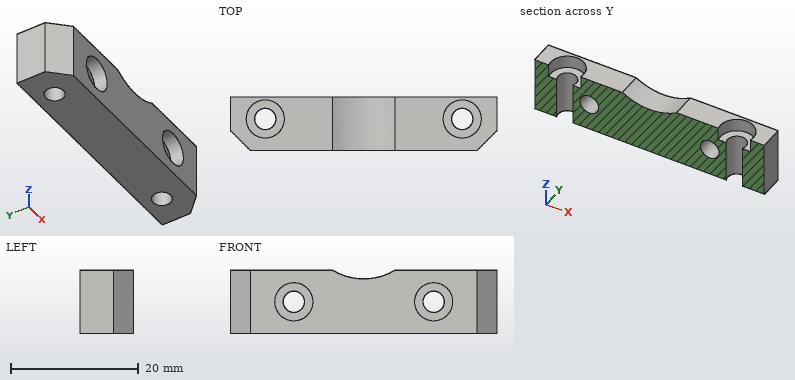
import cadquery as cq

length = 42.0
depth = 8.5
height = 10.0
corner_chamfer = 3.2

saddle_width = 9.9
saddle_depth = 1.4

hole_diameter = 3.3
bore_diameter = 6.0
bore_depth = 2.3
front_hole_spacing = 22.0
top_hole_spacing = 31.0
top_hole_from_back = 3.5


def make_block():
    """Block centred in X and Y, standing on Z = 0, with both front upright corners chamfered."""
    block = cq.Workplane("XY").box(length, depth, height, centered=(True, True, False))
    return block.faces("<Y").edges("|Z").chamfer(corner_chamfer)


def make_saddle():
    """Shallow circular segment running through the block along Y."""
    half_width = saddle_width / 2
    return (
        cq.Workplane("XZ")
        .moveTo(-half_width, height)
        .threePointArc((0, height - saddle_depth), (half_width, height))
        .close()
        .extrude(depth / 2, both=True)
    )


def drill_pair(body, entry_plane, spacing):
    """Two counterbored through holes, spaced along X about the plane's origin."""
    return (
        body.copyWorkplane(cq.Workplane(entry_plane))
        .pushPoints([(-spacing / 2, 0), (spacing / 2, 0)])
        .cboreHole(hole_diameter, bore_diameter, bore_depth)
    )


front_plane = cq.Plane(origin=(0, -depth / 2, height / 2), xDir=(1, 0, 0), normal=(0, -1, 0))
top_plane = cq.Plane(origin=(0, depth / 2 - top_hole_from_back, height), xDir=(1, 0, 0), normal=(0, 0, 1))

result = make_block().cut(make_saddle())
result = drill_pair(result, front_plane, front_hole_spacing)
result = drill_pair(result, top_plane, top_hole_spacing)